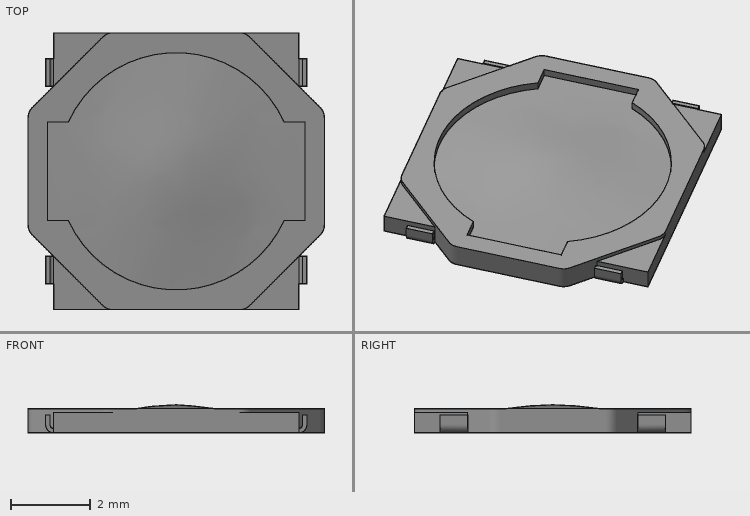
import cadquery as cq
import math

LENGTH = 7.5
WIDTH = 7.0
DOME_TOP = 0.71

BASE_LENGTH = 6.2
BASE_HEIGHT = 0.51

FRAME_HEIGHT = 0.615
FRAME_CHAMFER = 1.995
FRAME_CORNER_RADIUS = 0.35

POCKET_RADIUS = 3.0
POCKET_DEPTH = 0.2
SLOT_LENGTH = 6.5
SLOT_WIDTH = 2.5
FLOOR_HEIGHT = FRAME_HEIGHT - POCKET_DEPTH

TERMINAL_REACH = 0.2
TERMINAL_THICKNESS = 0.11
TERMINAL_HEIGHT = 0.45
TERMINAL_WIDTH = 0.7
TERMINAL_CENTER_Y = 2.5


def make_base():
    return cq.Workplane("XY").box(BASE_LENGTH, WIDTH, BASE_HEIGHT, centered=(True, True, False))


def make_frame():
    frame = cq.Workplane("XY").box(LENGTH, WIDTH, FRAME_HEIGHT, centered=(True, True, False))
    return frame.edges("|Z").chamfer(FRAME_CHAMFER).edges("|Z").fillet(FRAME_CORNER_RADIUS)


def make_pocket():
    floor = cq.Workplane("XY").workplane(offset=FLOOR_HEIGHT)
    round_opening = floor.circle(POCKET_RADIUS).extrude(POCKET_DEPTH)
    slot = floor.rect(SLOT_LENGTH, SLOT_WIDTH).extrude(POCKET_DEPTH)
    return round_opening.union(slot)


def raise_dome(body):
    """Replace the flat pocket floor by one smooth skin stretched from its outline to a central peak."""
    pocket_center = (0, 0, FLOOR_HEIGHT)
    floor = body.faces(cq.selectors.NearestToPointSelector(pocket_center)).val()
    peak = cq.Vector(0, 0, DOME_TOP)
    skin = cq.Face.makeNSidedSurface(floor.outerWire().Edges(), [peak])
    other_faces = [face for face in body.faces().vals() if not face.isSame(floor)]
    return cq.Workplane(cq.Solid.makeSolid(cq.Shell.makeShell(other_faces + [skin])))


def make_terminal(side, center_y):
    """Terminal leaving the base along its underside and bending up; side is +1 or -1 along X."""
    inner_radius = TERMINAL_REACH - TERMINAL_THICKNESS
    root_x = side * BASE_LENGTH / 2
    outer_x = root_x + side * TERMINAL_REACH
    inner_x = root_x + side * inner_radius
    bend_z = TERMINAL_REACH
    diagonal = math.sqrt(0.5)
    profile = (
        cq.Workplane("XZ", origin=(0, center_y, 0))
        .moveTo(root_x, 0)
        .threePointArc(
            (root_x + side * TERMINAL_REACH * diagonal, bend_z - TERMINAL_REACH * diagonal),
            (outer_x, bend_z),
        )
        .lineTo(outer_x, TERMINAL_HEIGHT)
        .lineTo(inner_x, TERMINAL_HEIGHT)
        .lineTo(inner_x, bend_z)
        .threePointArc(
            (root_x + side * inner_radius * diagonal, bend_z - inner_radius * diagonal),
            (root_x, TERMINAL_THICKNESS),
        )
        .close()
    )
    return profile.extrude(TERMINAL_WIDTH / 2, both=True)


body = make_base().union(make_frame()).cut(make_pocket())
for side in (-1, 1):
    for center_y in (-TERMINAL_CENTER_Y, TERMINAL_CENTER_Y):
        body = body.union(make_terminal(side, center_y))

result = raise_dome(body)